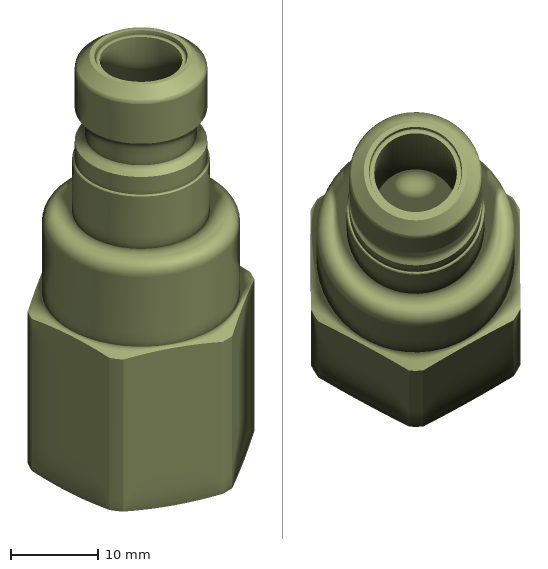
import cadquery as cq
import math

total_height = 54.5

across_flats = 24.0
corner_diameter = 26.8
hex_height = 22.0
hex_chamfer_angle = 15.0
hex_face_diameter = 22.9

body_diameter = 22.7
body_top = 33.2
body_fillet = 1.5

stem_diameter = 15.8
stem_top = 40.5
stem_edge_chamfer = 0.1
head_diameter = 15.2
groove_diameter = 12.8
groove_shoulder_bottom = 42.9
groove_bottom = 43.7
groove_top = 46.65
groove_shoulder_top = 47.45
nose_diameter = 11.8
nose_chamfer_height = 1.3
nose_blend_radius = 0.55

entry_diameter = 10.7
entry_floor_diameter = 10.5
entry_depth = 0.55
bore_diameter = 9.5
bore_floor = stem_top


def revolved(outline):
    """Revolve (radius, height) points around the vertical axis."""
    return cq.Workplane("XZ").polyline(outline).close().revolve(360, (0, 0, 0), (0, 1, 0))


def make_hexagon():
    """Hexagon with flats facing +X and -X, rounded corners and conical ends."""
    across_corners = across_flats / math.cos(math.radians(30))
    prism = (
        cq.Workplane("XY")
        .transformed(rotate=(0, 0, 30))
        .polygon(6, across_corners)
        .extrude(hex_height)
    )
    corner_radius = corner_diameter / 2
    face_radius = hex_face_diameter / 2
    chamfer_height = (corner_radius - face_radius) * math.tan(math.radians(hex_chamfer_angle))
    envelope = revolved([
        (0, 0),
        (face_radius, 0),
        (corner_radius, chamfer_height),
        (corner_radius, hex_height - chamfer_height),
        (face_radius, hex_height),
        (0, hex_height),
    ])
    return prism.intersect(envelope)


def make_body():
    """Round body with a filleted upper rim."""
    body = cq.Workplane("XY").circle(body_diameter / 2).extrude(body_top)
    return body.faces(">Z").edges().fillet(body_fillet)


def make_stem():
    """Stepped stem with a locking groove and a conical nose blended into the head."""
    stem_radius = stem_diameter / 2
    head_radius = head_diameter / 2
    groove_radius = groove_diameter / 2
    nose_base = total_height - nose_chamfer_height
    stem = revolved([
        (0, 0),
        (stem_radius, 0),
        (stem_radius, stem_top - stem_edge_chamfer),
        (stem_radius - stem_edge_chamfer, stem_top),
        (head_radius, stem_top),
        (head_radius, groove_shoulder_bottom),
        (groove_radius, groove_bottom),
        (groove_radius, groove_top),
        (head_radius, groove_shoulder_top),
        (head_radius, nose_base),
        (nose_diameter / 2, total_height),
        (0, total_height),
    ])
    nose_edge = cq.selectors.BoxSelector(
        (-stem_radius, -stem_radius, nose_base - nose_blend_radius / 2),
        (stem_radius, stem_radius, nose_base + nose_blend_radius / 2),
        boundingbox=True,
    )
    return stem.edges(nose_edge).fillet(nose_blend_radius)


def make_bore():
    """Blind bore opening upward through a shallow stepped entry."""
    entry_floor = total_height - entry_depth
    return revolved([
        (0, bore_floor),
        (bore_diameter / 2, bore_floor),
        (bore_diameter / 2, entry_floor),
        (entry_floor_diameter / 2, entry_floor),
        (entry_diameter / 2, total_height),
        (0, total_height),
    ])


result = make_hexagon().union(make_body()).union(make_stem()).cut(make_bore())